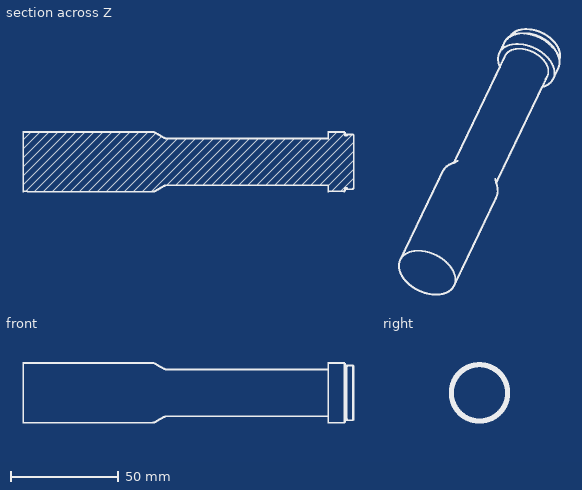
import cadquery as cq
import math

length = 154.6
body_diameter = 28.0
body_radius = body_diameter / 2
stem_radius = 11.0
tip_radius = 12.8
groove_radius = 12.2

taper_start = 61.2
taper_angle = 30.0
flange_start = 142.5
flange_end = 150.5
tip_start = 151.4

blend_radius = 2.3
edge_chamfer = 0.5

taper_length = (body_radius - stem_radius) / math.tan(math.radians(taper_angle))
taper_end = taper_start + taper_length


def cylinder(start, end, radius):
    """Solid cylinder along X between two axial positions."""
    return cq.Workplane("YZ", origin=(start, 0, 0)).circle(radius).extrude(end - start)


shank = (
    cq.Workplane("XY")
    .polyline([
        (0, 0),
        (0, body_radius),
        (taper_start, body_radius),
        (taper_end, stem_radius),
        (flange_start, stem_radius),
        (flange_start, 0),
    ])
    .close()
    .revolve(360, (0, 0, 0), (1, 0, 0))
)
for position in (taper_start, taper_end):
    transition = cq.selectors.BoxSelector(
        (position - taper_length / 2, -body_diameter, -body_diameter),
        (position + taper_length / 2, body_diameter, body_diameter),
        boundingbox=True,
    )
    shank = shank.edges(transition).fillet(blend_radius)

flange = cylinder(flange_start, flange_end, body_radius).faces(">X").chamfer(edge_chamfer)
groove = cylinder(flange_end, tip_start, groove_radius)
tip = cylinder(tip_start, length, tip_radius).faces(">X").chamfer(edge_chamfer)

result = shank.union(flange).union(groove).union(tip)